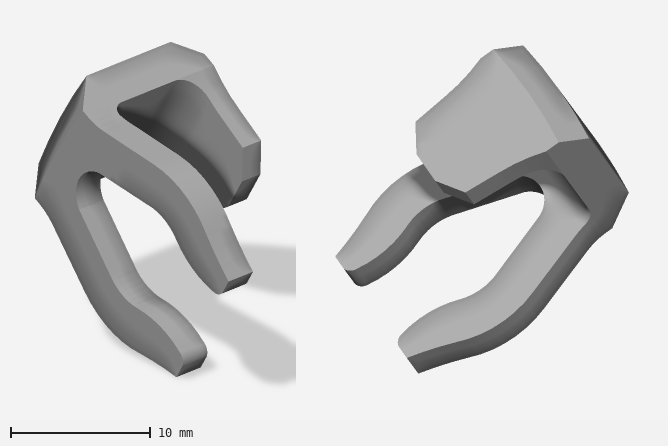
import cadquery as cq
import math

AXIS_TILT = 30.0

TOTAL_DEPTH = 12.4
HEAD_WIDTH = 10.0
HALF_HEAD = HEAD_WIDTH / 2
HEAD_LENGTH = 3.02
OUTER_RADIUS = 47.4
LUG_BEVEL_LENGTH = 1.9
LUG_BEVEL_DEPTH = 1.77
FORK_BEVEL_LENGTH = 2.45
FORK_BEVEL_DEPTH = 2.4

LUG_THICKNESS = 1.8
FORK_THICKNESS = 2.4
LUG_ROOT_RADIUS = 2.08
FORK_ROOT_RADIUS = 1.0

LUG_BEND = (6.7, 4.1)
LUG_CORNER = (9.44, 3.8)
LUG_TIP = (10.7, 1.43)
LUG_WAIST = (4.83, 4.4)

FLARE_ANGLE = math.radians(21.1)
FLARE_RADIUS = 5.05
FORK_LENGTH = 19.79
TIP_OUTER_Y = 5.45
TIP_INNER_Y = 4.18
ELBOW_START_X = 9.75
NOTCH_BOTTOM_X = 4.92
NOTCH_END = (6.13, 2.08)
ELBOW_OUTER_CREST = (13.08, 7.75)
ELBOW_OUTER_END = (16.28, 6.85)
TIP_FLANK_MID = (17.95, 6.1)
NOSE_MID = (19.55, 3.71)
NOSE_END = (19.03, 3.47)
CATCH_MID = (16.77, 3.3)
CATCH_END = (14.27, 3.98)
ELBOW_INNER_CREST = (12.6, 4.34)
ELBOW_INNER_END = (10.85, 3.94)


def mirrored(point):
    return (point[0], -point[1])


def make_head():
    """Bar with a bulged outer face and a bevel along each end of that face."""
    sagitta = OUTER_RADIUS - math.sqrt(OUTER_RADIUS**2 - HALF_HEAD**2)
    crown_x = -sagitta
    center_x = crown_x + OUTER_RADIUS
    section = (
        cq.Workplane("XZ")
        .moveTo(crown_x, LUG_BEVEL_DEPTH)
        .lineTo(crown_x + LUG_BEVEL_LENGTH, 0)
        .lineTo(center_x, 0)
        .lineTo(center_x, TOTAL_DEPTH)
        .lineTo(crown_x + FORK_BEVEL_LENGTH, TOTAL_DEPTH)
        .lineTo(crown_x, TOTAL_DEPTH - FORK_BEVEL_DEPTH)
        .close()
    )
    drum = section.revolve(360, (center_x, 0, 0), (center_x, 1, 0))
    block = (
        cq.Workplane("XY")
        .box(HEAD_LENGTH + sagitta, HEAD_WIDTH, TOTAL_DEPTH, centered=(False, True, False))
        .translate((crown_x, 0, 0))
    )
    return drum.intersect(block)


def make_lug():
    """Short tapered lug, including the stock for its root fillet."""
    return (
        cq.Workplane("XY")
        .moveTo(HEAD_LENGTH, -HALF_HEAD)
        .lineTo(HEAD_LENGTH, HALF_HEAD)
        .threePointArc(LUG_WAIST, LUG_BEND)
        .lineTo(*LUG_CORNER)
        .lineTo(*LUG_TIP)
        .lineTo(*mirrored(LUG_TIP))
        .lineTo(*mirrored(LUG_CORNER))
        .lineTo(*mirrored(LUG_BEND))
        .threePointArc(mirrored(LUG_WAIST), mirrored((HEAD_LENGTH, HALF_HEAD)))
        .close()
        .extrude(LUG_THICKNESS + LUG_ROOT_RADIUS)
    )


def make_fork():
    """Two mirrored snap arms, including the stock for their root fillet."""
    def on_flare(angle):
        return (
            HEAD_LENGTH + FLARE_RADIUS * math.sin(angle),
            HALF_HEAD + FLARE_RADIUS * (1 - math.cos(angle)),
        )

    flare_mid = on_flare(FLARE_ANGLE / 2)
    flare_end = on_flare(FLARE_ANGLE)
    elbow_start = (
        ELBOW_START_X,
        flare_end[1] + (ELBOW_START_X - flare_end[0]) * math.tan(FLARE_ANGLE),
    )
    half = (
        cq.Workplane("XY")
        .moveTo(NOTCH_BOTTOM_X, 0)
        .lineTo(HEAD_LENGTH, 0)
        .lineTo(HEAD_LENGTH, HALF_HEAD)
        .threePointArc(flare_mid, flare_end)
        .lineTo(*elbow_start)
        .threePointArc(ELBOW_OUTER_CREST, ELBOW_OUTER_END)
        .threePointArc(TIP_FLANK_MID, (FORK_LENGTH, TIP_OUTER_Y))
        .lineTo(FORK_LENGTH, TIP_INNER_Y)
        .threePointArc(NOSE_MID, NOSE_END)
        .threePointArc(CATCH_MID, CATCH_END)
        .threePointArc(ELBOW_INNER_CREST, ELBOW_INNER_END)
        .lineTo(*NOTCH_END)
    )
    rise = NOTCH_END[0] - NOTCH_BOTTOM_X
    notch_radius = (NOTCH_END[1]**2 + rise**2) / (2 * rise)
    half_arc = math.asin(NOTCH_END[1] / notch_radius) / 2
    notch_mid = (
        NOTCH_BOTTOM_X + notch_radius * (1 - math.cos(half_arc)),
        notch_radius * math.sin(half_arc),
    )
    stock = FORK_THICKNESS + FORK_ROOT_RADIUS
    arm = half.threePointArc(notch_mid, (NOTCH_BOTTOM_X, 0)).close().extrude(stock)
    fork = arm.union(arm.mirror("XZ"))
    return fork.translate((0, 0, TOTAL_DEPTH - stock))


def make_gap():
    """Open space between lug and fork, rounded where they meet the head."""
    fork_z = TOTAL_DEPTH - FORK_THICKNESS
    reach = FORK_LENGTH - HEAD_LENGTH
    gap = (
        cq.Workplane("XY")
        .box(reach, FORK_LENGTH, fork_z - LUG_THICKNESS, centered=(False, True, False))
        .translate((HEAD_LENGTH, 0, LUG_THICKNESS))
    )
    gap = gap.edges("<X and <Z").fillet(LUG_ROOT_RADIUS)
    return gap.edges("<X and >Z").fillet(FORK_ROOT_RADIUS)


plates = make_lug().union(make_fork()).cut(make_gap())
clip = make_head().union(plates)

result = clip.rotate((0, 0, 0), (1, 0, 0), 90).rotate((0, 0, 0), (0, 1, 0), AXIS_TILT)